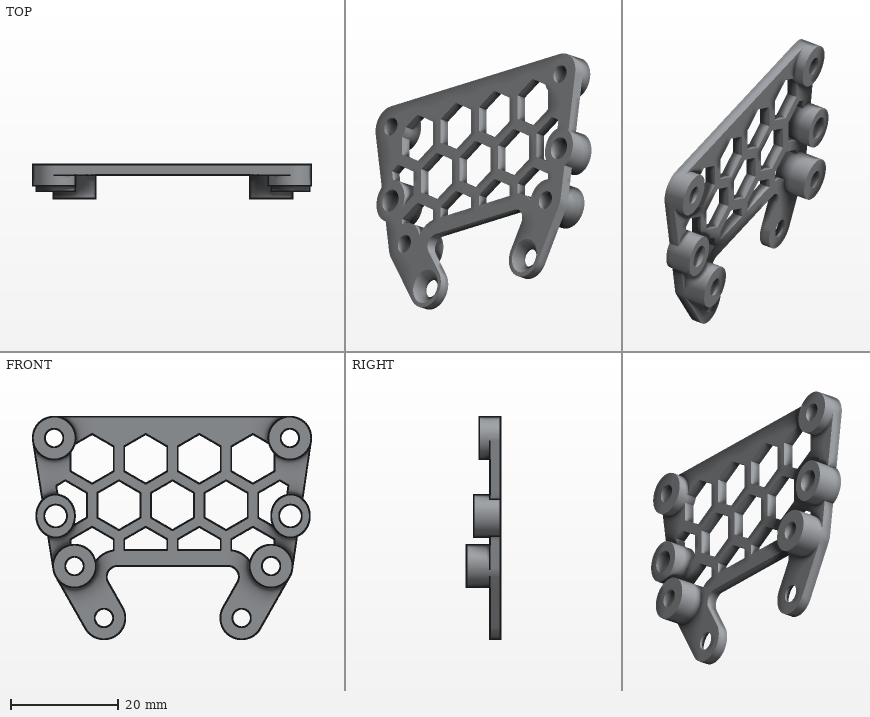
import cadquery as cq
import math

plate_thickness = 2.0
corner_radius = 4.0
rim_width = 3.0
fillet_radius = 2.0

top_pair = (22.0, 0.0, 0.0)
middle_pair = (21.92, 0.2, -14.55)
lower_pair = (18.35, 0.15, -23.9)
leg_pair = (12.85, 0.15, -33.59)
bottom_edge_z = lower_pair[2]
LEFT = -1
RIGHT = 1

boss_diameter = 8.0
screw_hole_diameter = 3.4
top_boss_length = 4.0
lower_boss_length = 6.35
middle_boss_length = 5.0
middle_boss_width = 7.25
middle_boss_height = 8.0
middle_boss_facets = 100
middle_hole_diameter = 4.2

leg_hole_lip = 0.5

hex_flat_width = 8.0
hex_pitch = 10.0
hex_row_pitch = hex_pitch * math.sqrt(3) / 2
first_row_z = -3.89
honeycomb_offset = 0.1
hex_columns_by_row = (4, 5, 4)


def xz_plane():
    """Sketch plane with local axes X and Z; positive extrusion runs toward -Y."""
    return cq.Workplane("XZ")


def screw_center(pair, side):
    """Position (X, Z) of the left or right screw of a pair."""
    half_spacing, offset, z = pair
    return (side * half_spacing + offset, z)


def unit_direction(start, end):
    length = math.dist(start, end)
    return ((end[0] - start[0]) / length, (end[1] - start[1]) / length)


def shifted(point, direction, distance):
    return (point[0] + direction[0] * distance, point[1] + direction[1] * distance)


def bisector(first, second):
    """Unit direction halfway between two unit directions."""
    return unit_direction((0.0, 0.0), (first[0] + second[0], first[1] + second[1]))


def half_plate(inset, side):
    """One half of the plate outline, moved inward by the inset and extruded."""
    top = screw_center(top_pair, side)
    lower = screw_center(lower_pair, side)
    foot = screw_center(leg_pair, side)
    radius = corner_radius - inset
    concave_radius = fillet_radius + inset
    up = (0.0, 1.0)

    flank = unit_direction(top, lower)
    flank_out = (-side * flank[1], side * flank[0])
    leg = unit_direction(lower, foot)
    leg_out = (-side * leg[1], side * leg[0])
    leg_in = (side * leg[1], -side * leg[0])

    fillet_z = bottom_edge_z - fillet_radius
    axis_distance = corner_radius + fillet_radius
    fillet_x = lower[0] + (axis_distance - leg_in[1] * (fillet_z - lower[1])) / leg_in[0]
    fillet_center = (fillet_x, fillet_z)

    return (
        xz_plane()
        .moveTo(0.0, top[1] + radius)
        .lineTo(*shifted(top, up, radius))
        .threePointArc(
            shifted(top, bisector(up, flank_out), radius),
            shifted(top, flank_out, radius),
        )
        .lineTo(*shifted(lower, flank_out, radius))
        .threePointArc(
            shifted(lower, bisector(flank_out, leg_out), radius),
            shifted(lower, leg_out, radius),
        )
        .lineTo(*shifted(foot, leg_out, radius))
        .threePointArc(
            shifted(foot, leg, radius),
            shifted(foot, leg_in, radius),
        )
        .lineTo(*shifted(fillet_center, leg_out, concave_radius))
        .threePointArc(
            shifted(fillet_center, bisector(leg_out, up), concave_radius),
            shifted(fillet_center, up, concave_radius),
        )
        .lineTo(0.0, fillet_z + concave_radius)
        .close()
        .extrude(plate_thickness)
    )


def plate_solid(inset):
    """Whole plate outline moved inward by the inset and extruded to the plate thickness."""
    return half_plate(inset, LEFT).union(half_plate(inset, RIGHT))


def honeycomb():
    """Upright hexagonal prisms in staggered rows, trimmed to the area inside the rim."""
    centers = []
    for row, columns in enumerate(hex_columns_by_row):
        z = first_row_z - row * hex_row_pitch
        for column in range(columns):
            centers.append(((column - (columns - 1) / 2) * hex_pitch + honeycomb_offset, z))

    corner_distance = hex_flat_width / math.sqrt(3)
    hexagon = []
    for corner in range(6):
        angle = math.radians(30 + 60 * corner)
        hexagon.append((corner_distance * math.cos(angle), corner_distance * math.sin(angle)))

    cells = xz_plane()
    for x, z in centers:
        cells = cells.polyline([(x + dx, z + dz) for dx, dz in hexagon]).close()
    return cells.extrude(plate_thickness).intersect(plate_solid(rim_width))


def cylinder(center, diameter, length):
    """Cylinder from the back face toward -Y, used for bosses and for holes."""
    return xz_plane().center(*center).circle(diameter / 2).extrude(length)


def middle_boss(center):
    """Faceted boss whose outline is a many-sided polygon on an ellipse."""
    outline = []
    for facet in range(middle_boss_facets):
        angle = 2 * math.pi * facet / middle_boss_facets
        x = middle_boss_width / 2 * math.cos(angle)
        z = middle_boss_height / 2 * math.sin(angle)
        outline.append((x, z))
    return xz_plane().center(*center).polyline(outline).close().extrude(middle_boss_length)


def leg_countersink(center):
    """90 degree cone, widest on the back face and narrowing to the screw hole at the lip."""
    depth = plate_thickness - leg_hole_lip
    hole_radius = screw_hole_diameter / 2
    return (
        xz_plane()
        .center(*center)
        .circle(hole_radius + depth)
        .workplane(offset=depth)
        .circle(hole_radius)
        .loft(ruled=True)
    )


result = plate_solid(0.0).cut(honeycomb())

for side in (LEFT, RIGHT):
    top = screw_center(top_pair, side)
    middle = screw_center(middle_pair, side)
    lower = screw_center(lower_pair, side)
    foot = screw_center(leg_pair, side)

    result = result.union(cylinder(top, boss_diameter, top_boss_length))
    result = result.union(cylinder(lower, boss_diameter, lower_boss_length))
    result = result.union(middle_boss(middle))

    result = result.cut(cylinder(top, screw_hole_diameter, top_boss_length))
    result = result.cut(cylinder(lower, screw_hole_diameter, lower_boss_length))
    result = result.cut(cylinder(middle, middle_hole_diameter, middle_boss_length))
    result = result.cut(cylinder(foot, screw_hole_diameter, plate_thickness))
    result = result.cut(leg_countersink(foot))